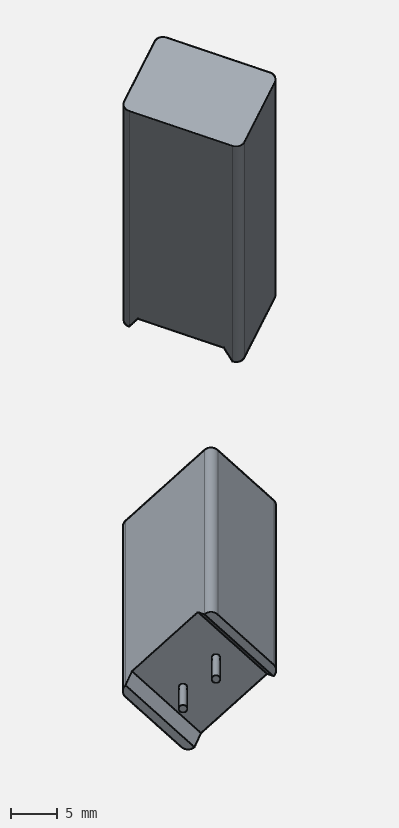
import cadquery as cq

total_height = 43.2
body_width = 14.0
body_depth = 10.5
corner_radius = 1.0

lead_diameter = 0.9
lead_pitch = 5.0
lead_length = 3.2

relief_height = 2.0
foot_width = 1.0
relief_flare = 1.0

body_height = total_height - lead_length
relief_half_bottom = body_width / 2 - foot_width
relief_half_top = relief_half_bottom - relief_flare


def make_body():
    """Rounded block standing on Z = 0, with a tapered channel through it along Y."""
    block = (
        cq.Workplane("XY")
        .rect(body_width, body_depth)
        .extrude(body_height)
        .edges("|Z")
        .fillet(corner_radius)
    )
    relief = (
        cq.Workplane("XZ")
        .moveTo(-relief_half_bottom, 0)
        .lineTo(-relief_half_top, relief_height)
        .lineTo(relief_half_top, relief_height)
        .lineTo(relief_half_bottom, 0)
        .close()
        .extrude(body_depth / 2, both=True)
    )
    return block.cut(relief)


def make_lead(side):
    """Round lead hanging from the relief's ceiling; side is -1 or +1 along X."""
    return (
        cq.Workplane("XY", origin=(side * lead_pitch / 2, 0, -lead_length))
        .circle(lead_diameter / 2)
        .extrude(lead_length + relief_height)
    )


body = make_body()
leads = [make_lead(side) for side in (-1, 1)]

result = cq.Compound.makeCompound([body.val(), *[lead.val() for lead in leads]])